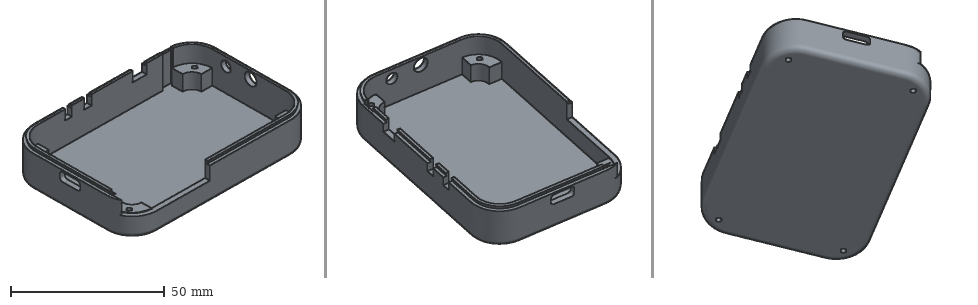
import cadquery as cq
import math

width = 57.2
length = 84.7
height = 16.0
corner_radius = 11.5
bottom_fillet = 2.2

wall = 2.2
floor = 1.5
lip_height = 1.3
lip_top_inset = 1.0
lip_base_inset = 1.35

post_top = 8.5
post_relief_radius = 4.3
screw_hole_diameter = 1.9
screw_x = 21.4
screw_y = 36.4

side_notches = [(12.9, 19.2), (-9.4, -6.1), (-18.2, -15.2)]
side_notch_bottom = 11.5

recess_start = 26.7
recess_end = 31.6

cutdown_end = -6.4
cutdown_bottom = 8.7

slot_width = 9.3
slot_height = 4.0
slot_corner_radius = 1.3
slot_z = 12.0

back_holes = [(0.7, 12.7, 5.4), (-10.75, 12.1, 4.4)]

half_width = width / 2
half_length = length / 2
ledge_z = height - lip_height
corner_x = half_width - corner_radius
corner_y = half_length - corner_radius


def box(x_range, y_range, z_range):
    """Box spanning the given (low, high) range on each axis."""
    ranges = (x_range, y_range, z_range)
    sizes = [high - low for low, high in ranges]
    corner = tuple(low for low, high in ranges)
    return cq.Workplane("XY").box(*sizes, centered=False).translate(corner)


def rounded_block(inset, bottom, top, flare_angle=0):
    """Block with the tray's rounded outline drawn in by inset, widening upward by flare_angle."""
    outline = (
        cq.Sketch()
        .rect(width - 2 * inset, length - 2 * inset)
        .vertices()
        .fillet(corner_radius - inset)
    )
    return (
        cq.Workplane("XY", origin=(0, 0, bottom))
        .placeSketch(outline)
        .extrude(top - bottom, taper=-flare_angle)
    )


def make_shell():
    """Hollow tray with a rounded bottom edge and a thin flared lip on top."""
    body = rounded_block(0, 0, ledge_z).faces("<Z").edges().fillet(bottom_fillet)
    flare_angle = math.degrees(math.atan2(lip_base_inset - lip_top_inset, lip_height))
    lip = rounded_block(lip_base_inset, ledge_z, height, flare_angle)
    return body.union(lip).cut(rounded_block(wall, floor, height))


def corner_cylinders(x, y, radius):
    """Four upright cylinders above the bottom plane, mirrored about both axes."""
    return (
        cq.Workplane("XY")
        .rect(2 * x, 2 * y, forConstruction=True)
        .vertices()
        .circle(radius)
        .extrude(height)
    )


def make_posts():
    """Four posts filling the rounded inner corners up to post_top."""
    full_x = (-half_width, half_width)
    full_y = (-half_length, half_length)
    z_range = (floor, post_top)
    posts = rounded_block(wall / 2, *z_range)
    posts = posts.cut(box((-corner_x, corner_x), full_y, z_range))
    posts = posts.cut(box(full_x, (-corner_y, corner_y), z_range))
    return posts.cut(corner_cylinders(corner_x, corner_y, post_relief_radius))


def make_side_notch(y_range):
    return box((-half_width, wall - half_width), y_range, (side_notch_bottom, height))


def make_recess():
    """Pocket behind the outer skin of the -X wall, open at the top and inward."""
    x_range = (lip_top_inset - half_width, wall - half_width)
    return box(x_range, (recess_start, recess_end), (floor, height))


def make_cutdown():
    """Opens the +X wall down to cutdown_bottom, leaving the -Y skin outside the lip base."""
    y_range = (lip_base_inset - half_length, cutdown_end)
    return box((corner_x, half_width), y_range, (cutdown_bottom, height))


def make_front_slot():
    return (
        box(
            (-slot_width / 2, slot_width / 2),
            (-half_length, wall - half_length),
            (slot_z - slot_height / 2, slot_z + slot_height / 2),
        )
        .edges("|Y")
        .fillet(slot_corner_radius)
    )


def make_back_hole(x, z, diameter):
    return (
        cq.Workplane("XZ", origin=(x, half_length, z))
        .circle(diameter / 2)
        .extrude(wall)
    )


result = make_shell()
result = result.union(make_posts())
result = result.cut(make_recess())
result = result.cut(corner_cylinders(screw_x, screw_y, screw_hole_diameter / 2))
for notch in side_notches:
    result = result.cut(make_side_notch(notch))
result = result.cut(make_cutdown())
result = result.cut(make_front_slot())
for hole_x, hole_z, hole_diameter in back_holes:
    result = result.cut(make_back_hole(hole_x, hole_z, hole_diameter))